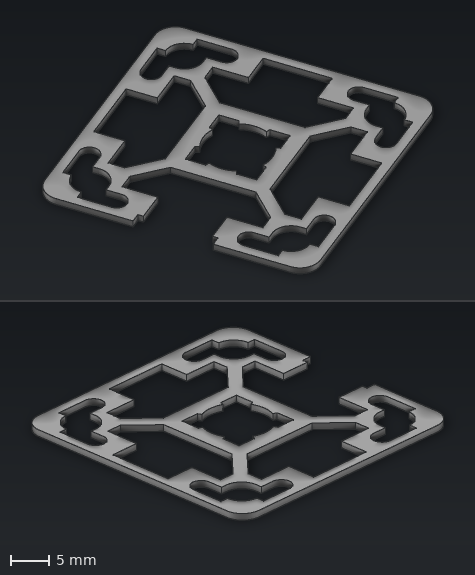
import cadquery as cq
import math


side = 40.0
thickness = 1.0
corner_radius = 3.0
wall = 1.5
half_side = side / 2
wall_inner = half_side - wall

slot_mouth_width = 10.0
slot_head_width = 20.4
lip_depth = 6.0
hub_width = 15.2
rib_thickness = 2.0
open_mouth_width = 11.6

hole_width = 10.3
bore_radius = 5.0
bore_half_angle = math.radians(23.5)

channel_width = 3.0
channel_end = 11.9
cavity_center = 5.45
cavity_radius = 2.7

quarter_turns = (0, 90, 180, 270)


def turned(shape, angle):
    """Shape rotated about the centre axis of the profile."""
    return shape.rotate((0, 0, 0), (0, 0, 1), angle)


def plate():
    body = cq.Workplane("XY").rect(side, side).extrude(thickness)
    return body.edges("|Z").fillet(corner_radius)


def slot():
    """Closed T-slot on the +Y side, bounded by the hub and two diagonal ribs."""
    mouth = slot_mouth_width / 2
    head = slot_head_width / 2
    lip = half_side - lip_depth
    hub = hub_width / 2
    rib_offset = rib_thickness / math.sqrt(2)
    right_side = [
        (mouth, wall_inner),
        (mouth, lip),
        (head, lip),
        (head, head + rib_offset),
        (hub - rib_offset, hub),
    ]
    left_side = [(-x, y) for x, y in reversed(right_side)]
    return cq.Workplane("XY").polyline(right_side + left_side).close().extrude(thickness)


def open_mouth():
    """Stepped opening through the -Y wall."""
    center_y = -half_side + wall / 2
    return cq.Workplane("XY").center(0, center_y).rect(open_mouth_width, wall).extrude(thickness)


def center_hole():
    """Square hole whose sides narrow to a round bore near each axis."""
    hole = cq.Workplane("XY").rect(hole_width, hole_width).extrude(thickness)
    reach = hole_width
    spread = reach * math.tan(bore_half_angle)
    sector_points = [(0, 0), (spread, reach), (-spread, reach)]
    sector = cq.Workplane("XY").polyline(sector_points).close().extrude(thickness)
    bore = cq.Workplane("XY").circle(bore_radius).extrude(thickness)
    outside_bore = sector.cut(bore)
    for angle in quarter_turns:
        hole = hole.cut(turned(outside_bore, angle))
    return hole


def corner_cavity():
    """Cavity in the +X +Y corner: two round-ended channels joined by a round cavity."""
    channel_inner = wall_inner - channel_width
    channel_mid = wall_inner - channel_width / 2
    channel_tip = half_side - channel_end
    tip_start = channel_tip + channel_width / 2
    center = half_side - cavity_center
    far = center + cavity_radius
    near = center - cavity_radius
    diagonal = cavity_radius / math.sqrt(2)
    return (
        cq.Workplane("XY")
        .moveTo(wall_inner, tip_start)
        .lineTo(wall_inner, center)
        .lineTo(far, center)
        .threePointArc((center + diagonal, center + diagonal), (center, far))
        .lineTo(center, wall_inner)
        .lineTo(tip_start, wall_inner)
        .threePointArc((channel_tip, channel_mid), (tip_start, channel_inner))
        .lineTo(near, channel_inner)
        .lineTo(near, center)
        .threePointArc((center - diagonal, center - diagonal), (center, near))
        .lineTo(channel_inner, near)
        .lineTo(channel_inner, tip_start)
        .threePointArc((channel_mid, channel_tip), (wall_inner, tip_start))
        .close()
        .extrude(thickness)
    )


result = plate().cut(center_hole()).cut(open_mouth())
for angle in quarter_turns:
    for pocket in (slot(), corner_cavity()):
        result = result.cut(turned(pocket, angle))